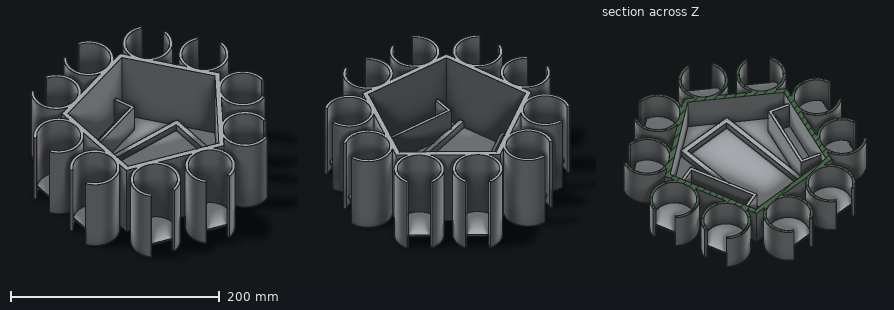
import cadquery as cq
import math

HEIGHT = 81.0

SIDES = 5
SIDE_LENGTH = 100.0
TRAY_WALL = 5.0
TRAY_FLOOR = 5.0
APOTHEM = SIDE_LENGTH / (2 * math.tan(math.pi / SIDES))
INNER_APOTHEM = APOTHEM - TRAY_WALL

CUP_BORE_RADIUS = 21.0
CUP_WALL = 3.0
CUP_RADIUS = CUP_BORE_RADIUS + CUP_WALL
CUP_OFFSET = 28.0
CUP_CENTRE_DISTANCE = APOTHEM + CUP_BORE_RADIUS
MOUTH_ANGLE = 60.0
SHELF_BOTTOM = 9.0
SHELF_THICKNESS = 2.0
SHELF_REACH = 14.0

FRAME_INNER_WIDTH = 51.3
FRAME_INNER_LENGTH = 115.7
FRAME_WALL = 5.0
FRAME_TOP = 12.5

BIN_LENGTH = 72.5
BIN_DEPTH = 21.5
BIN_WALL = 3.0
BIN_TOP = 35.0

SIDE_ANGLES = [360.0 / SIDES * i for i in range(SIDES)]
BIN_SIDE_ANGLES = [SIDE_ANGLES[1], SIDE_ANGLES[-1]]


def turned(shape, angle):
    """Turn a shape about the part's Z axis."""
    return shape.rotate((0, 0, 0), (0, 0, 1), angle)


def block(x_size, y_min, y_max, z_min, z_max):
    """Box centred on X = 0 between the given Y and Z limits."""
    box = cq.Workplane("XY").box(x_size, y_max - y_min, z_max - z_min, centered=(True, False, False))
    return box.translate((0, y_min, z_min))


def pentagon(apothem, z_min, z_max):
    """Upright pentagonal prism with a corner on +Y."""
    diameter = 2 * apothem / math.cos(math.pi / SIDES)
    prism = cq.Workplane("XY").polygon(SIDES, diameter).extrude(z_max - z_min)
    return turned(prism, 90).translate((0, 0, z_min))


def make_cup():
    """Tube on Z with its mouth facing -Y and a raised shelf cut off straight at the front."""
    half_mouth = math.radians(MOUTH_ANGLE / 2)
    mouth_depth = 2 * CUP_RADIUS
    mouth_half_width = mouth_depth * math.tan(half_mouth)
    mouth = (
        cq.Workplane("XY")
        .polyline([(0, 0), (-mouth_half_width, -mouth_depth), (mouth_half_width, -mouth_depth)])
        .close()
        .extrude(HEIGHT)
    )
    tube = cq.Workplane("XY").circle(CUP_RADIUS).circle(CUP_BORE_RADIUS).extrude(HEIGHT).cut(mouth)

    shelf_top = SHELF_BOTTOM + SHELF_THICKNESS
    mid_wall_radius = CUP_BORE_RADIUS + CUP_WALL / 2
    shelf = cq.Workplane("XY").workplane(offset=SHELF_BOTTOM).circle(mid_wall_radius).extrude(SHELF_THICKNESS)
    shelf = shelf.intersect(block(2 * CUP_RADIUS, -SHELF_REACH, CUP_RADIUS, SHELF_BOTTOM, shelf_top))
    return tube.union(shelf)


def make_frame():
    """Low frame with two long walls and one end wall."""
    y_inner_end = -INNER_APOTHEM + FRAME_INNER_LENGTH
    outer_width = FRAME_INNER_WIDTH + 2 * FRAME_WALL
    outer = block(outer_width, -INNER_APOTHEM, y_inner_end + FRAME_WALL, 0, FRAME_TOP)
    inner = block(FRAME_INNER_WIDTH, -INNER_APOTHEM, y_inner_end, TRAY_FLOOR, FRAME_TOP)
    return outer.cut(inner)


def make_bin():
    """Three-walled bin standing against the -Y wall of the tray."""
    y_front = -INNER_APOTHEM + BIN_DEPTH
    outer = block(BIN_LENGTH, -INNER_APOTHEM, y_front, 0, BIN_TOP)
    inner = block(BIN_LENGTH - 2 * BIN_WALL, -INNER_APOTHEM, y_front - BIN_WALL, TRAY_FLOOR, BIN_TOP)
    return outer.cut(inner)


tray = pentagon(APOTHEM, 0, HEIGHT).cut(pentagon(INNER_APOTHEM, TRAY_FLOOR, HEIGHT))
result = tray.union(make_frame())

for angle in BIN_SIDE_ANGLES:
    result = result.union(turned(make_bin(), angle))

cup = make_cup()
for angle in SIDE_ANGLES:
    for offset in (-CUP_OFFSET, CUP_OFFSET):
        placed_cup = cup.translate((offset, -CUP_CENTRE_DISTANCE, 0))
        result = result.union(turned(placed_cup, angle))